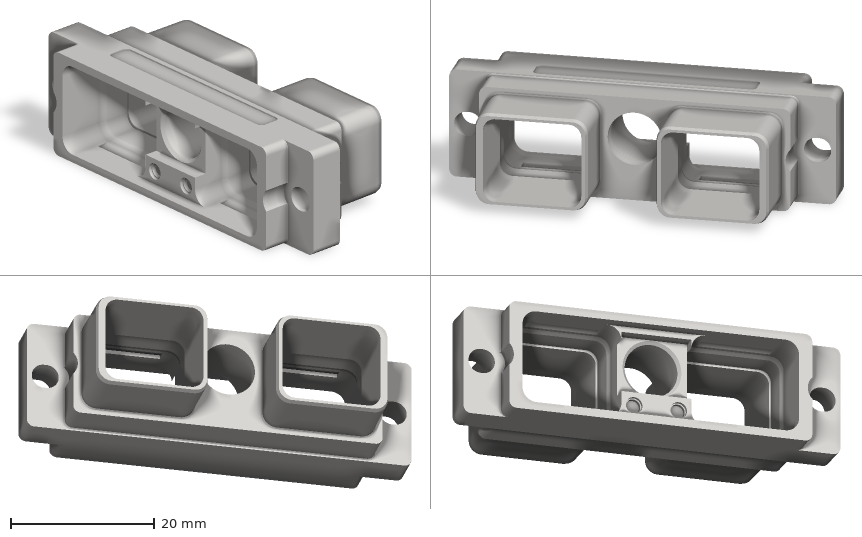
import cadquery as cq

length = 55.4
height = 15.9
depth = 23.0
body_length = 44.5
rear_body_height = 15.2
body_depth = 14.1
outer_corner_radius = 1.05

flange_front = 4.0
flange_back = 8.95
joint_bevel = 0.15

mount_hole_x = 25.05
mount_hole_diameter = 3.55
mount_hole_length = 3.9
relief_half_width = 1.6
relief_depth = 0.65

housing_inner_x = 4.95
housing_base_outer_x = 21.1
housing_tip_outer_x = 21.0
housing_height = 13.5
housing_corner_radius = 2.05
tip_bevel_length = 0.7
tip_bevel_inset = 0.2

cavity_center_x = 12.75
cavity_width = 15.2
cavity_height = 13.5
cavity_corner_radius = 2.05
taper_start = 7.0
taper_end = 8.0
taper_inset = 0.3
lip_depth = 11.9
opening_width = 14.05
opening_height = 12.3
opening_corner_radius = 1.75

groove_start = 4.55
groove_end = 6.3
groove_width = 10.65
groove_depth = 0.55

ledge_front = 2.0
block_front = 4.0
ledge_top_z = 5.9
ledge_bottom_z = -2.9
bore_z = (ledge_top_z + ledge_bottom_z) / 2
bore_radius = 3.9
bore_chamfer = 0.45
pin_hole_x = 3.25
pin_hole_z = -4.8
pin_hole_radius = 1.05
pin_counterbore_radius = 1.2
pin_counterbore_depth = 0.5
pin_hole_depth = 1.1

label_length = 32.0
label_width = 3.55
label_center_y = 6.4
label_recess = 0.2
label_corner_radius = 0.85

cavity_edge_x = cavity_center_x - cavity_width / 2
cavity_span = 2 * (cavity_center_x + cavity_width / 2)
sides = (-1, 1)


def plane_at(y):
    """XZ workplane at depth y, with its normal pointing to +Y."""
    return cq.Workplane(cq.Plane(origin=(0, y, 0), xDir=(-1, 0, 0), normal=(0, 1, 0)))


def rounded_rect(x_center, width, tall, radius):
    """Rounded rectangle centred at (x_center, 0) in the X-Z section."""
    return cq.Sketch().rect(width, tall).vertices().fillet(radius).moved(cq.Location(cq.Vector(-x_center, 0, 0)))


def prism(y_start, y_end, x_center, width, tall, radius):
    section = rounded_rect(x_center, width, tall, radius)
    return plane_at(y_start).placeSketch(section).extrude(y_end - y_start)


def tapered(y_start, start_section, y_end, end_section):
    """Loft between two (x_center, width, height, radius) sections."""
    start = rounded_rect(*start_section)
    end = rounded_rect(*end_section).moved(cq.Location(cq.Vector(0, 0, y_end - y_start)))
    return plane_at(y_start).placeSketch(start, end).loft(ruled=True)


def joint_collar(y_wall, y_free, x_center, width, tall, radius, tall_growth=2 * joint_bevel):
    """Small bevel that widens a part towards the wall it stands on."""
    flared = (x_center, width + 2 * joint_bevel, tall + tall_growth, radius)
    plain = (x_center, width, tall, radius)
    if y_free < y_wall:
        return tapered(y_free, plain, y_wall, flared)
    return tapered(y_wall, flared, y_free, plain)


def housing(side):
    """Drafted tube body with a bevelled tip."""
    base_width = housing_base_outer_x - housing_inner_x
    tip_width = housing_tip_outer_x - housing_inner_x
    base_center = side * (housing_inner_x + base_width / 2)
    tip_center = side * (housing_inner_x + tip_width / 2)
    bevel_start = depth - tip_bevel_length
    base = (base_center, base_width, housing_height, housing_corner_radius)
    tip = (tip_center, tip_width, housing_height, housing_corner_radius)
    bevelled = (
        tip_center,
        tip_width - 2 * tip_bevel_inset,
        housing_height - 2 * tip_bevel_inset,
        housing_corner_radius - tip_bevel_inset,
    )
    tube = tapered(body_depth, base, bevel_start, tip)
    collar = joint_collar(body_depth, body_depth + joint_bevel, *base)
    return tube.union(tapered(bevel_start, tip, depth, bevelled)).union(collar)


def cavity(side):
    """Stepped opening that runs from the mating face out through the housing tip."""
    x_center = side * cavity_center_x
    wide = (x_center, cavity_width, cavity_height, cavity_corner_radius)
    narrow = (
        x_center,
        cavity_width - 2 * taper_inset,
        cavity_height - 2 * taper_inset,
        cavity_corner_radius - taper_inset,
    )
    mouth = prism(0, taper_start, *wide)
    taper = tapered(taper_start, wide, taper_end, narrow)
    throat = prism(taper_end, lip_depth, *narrow)
    opening = prism(lip_depth, depth, x_center, opening_width, opening_height, opening_corner_radius)
    return mouth.union(taper).union(throat).union(opening)


def latch_grooves(side):
    """Wedge cuts in the floor and roof, deepest at their front edge."""
    wall_z = cavity_height / 2
    profile = [(groove_start, wall_z), (groove_start, wall_z + groove_depth), (groove_end, wall_z)]
    roof = (
        cq.Workplane("YZ", origin=(side * cavity_center_x, 0, 0))
        .polyline(profile)
        .close()
        .extrude(groove_width / 2, both=True)
    )
    return roof.union(roof.mirror("XY"))


def relief(side):
    """Shallow arc-shaped groove along the end of the body, in line with the mounting hole."""
    wall_x = side * body_length / 2
    outside_x = wall_x + side * joint_bevel
    floor_x = wall_x - side * relief_depth
    return (
        cq.Workplane("XZ")
        .moveTo(wall_x, -relief_half_width)
        .threePointArc((floor_x, 0), (wall_x, relief_half_width))
        .lineTo(outside_x, relief_half_width)
        .lineTo(outside_x, -relief_half_width)
        .close()
        .extrude(-body_depth)
    )


def cylinder(x, z, y_start, radius, span):
    """Cylinder that runs along +Y from y_start."""
    return cq.Workplane("XZ", origin=(x, y_start, z)).circle(radius).extrude(-span)


def bore():
    """Through bore in the centre block with a conical lead-in."""
    span = body_depth - block_front
    profile = [
        (0, 0),
        (bore_radius + bore_chamfer, 0),
        (bore_radius, bore_chamfer),
        (bore_radius, span),
        (0, span),
    ]
    tool = cq.Workplane("XY").polyline(profile).close().revolve(360, (0, 0, 0), (0, 1, 0))
    return tool.translate((0, block_front, bore_z))


def pin_hole(side):
    """Blind counterbored hole in the lower ledge."""
    x = side * pin_hole_x
    hole = cylinder(x, pin_hole_z, ledge_front, pin_hole_radius, pin_hole_depth)
    return hole.union(cylinder(x, pin_hole_z, ledge_front, pin_counterbore_radius, pin_counterbore_depth))


front_section = (0, body_length, height, outer_corner_radius)
rear_section = (0, body_length, rear_body_height, outer_corner_radius)
result = prism(0, flange_front, *front_section)
result = result.union(joint_collar(flange_front, flange_front - joint_bevel, *front_section, tall_growth=0))
result = result.union(prism(flange_front, body_depth, *rear_section))
result = result.union(joint_collar(flange_back, flange_back + joint_bevel, *rear_section))
for side in sides:
    result = result.cut(relief(side))
result = result.union(prism(flange_front, flange_back, 0, length, height, outer_corner_radius))

for side in sides:
    result = result.union(housing(side))
for side in sides:
    result = result.cut(cavity(side)).cut(latch_grooves(side))

result = result.cut(prism(0, ledge_front, 0, cavity_span, cavity_height, cavity_corner_radius))
ledge_gap = cq.Workplane("XY").box(
    2 * cavity_edge_x, block_front, ledge_top_z - ledge_bottom_z, centered=(True, False, True)
)
result = result.cut(ledge_gap.translate((0, 0, bore_z)))

result = result.cut(bore())
for side in sides:
    result = result.cut(pin_hole(side))

for side in sides:
    slot = (
        cq.Workplane("XZ")
        .center(side * mount_hole_x, 0)
        .slot2D(mount_hole_length, mount_hole_diameter)
        .extrude(-depth)
    )
    result = result.cut(slot)

label = (
    cq.Workplane("XY", origin=(0, label_center_y, height / 2))
    .rect(label_length, label_width)
    .extrude(-label_recess)
    .edges("|Z")
    .fillet(label_corner_radius)
)
result = result.cut(label)